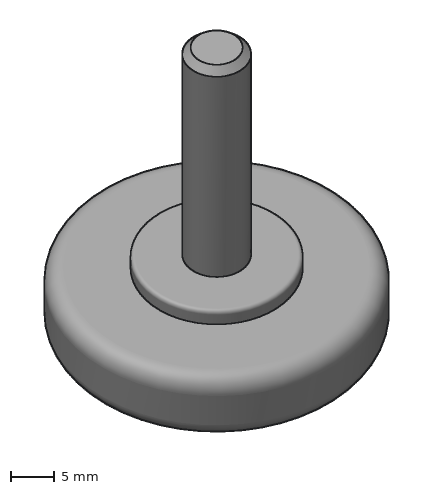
import cadquery as cq

total_height = 43.0

base_diameter = 40.0
base_height = 9.0
base_edge_radius = 2.25

collar_diameter = 20.0
collar_height = 2.0
collar_edge_radius = 0.5

stud_diameter = 8.0
stud_chamfer = 1.0
collar_top = base_height + collar_height
stud_length = total_height - collar_top


def make_base():
    """Disc resting on the XY plane, rounded along both rims."""
    disc = cq.Workplane("XY").circle(base_diameter / 2).extrude(base_height)
    return disc.edges().fillet(base_edge_radius)


def make_collar():
    """Low collar with a rounded top rim."""
    collar = cq.Workplane("XY", origin=(0, 0, base_height))
    collar = collar.circle(collar_diameter / 2).extrude(collar_height)
    return collar.faces(">Z").edges().fillet(collar_edge_radius)


def make_stud():
    """Plain stud with a chamfered tip."""
    stud = cq.Workplane("XY", origin=(0, 0, collar_top))
    stud = stud.circle(stud_diameter / 2).extrude(stud_length)
    return stud.faces(">Z").edges().chamfer(stud_chamfer)


result = make_base().union(make_collar()).union(make_stud())